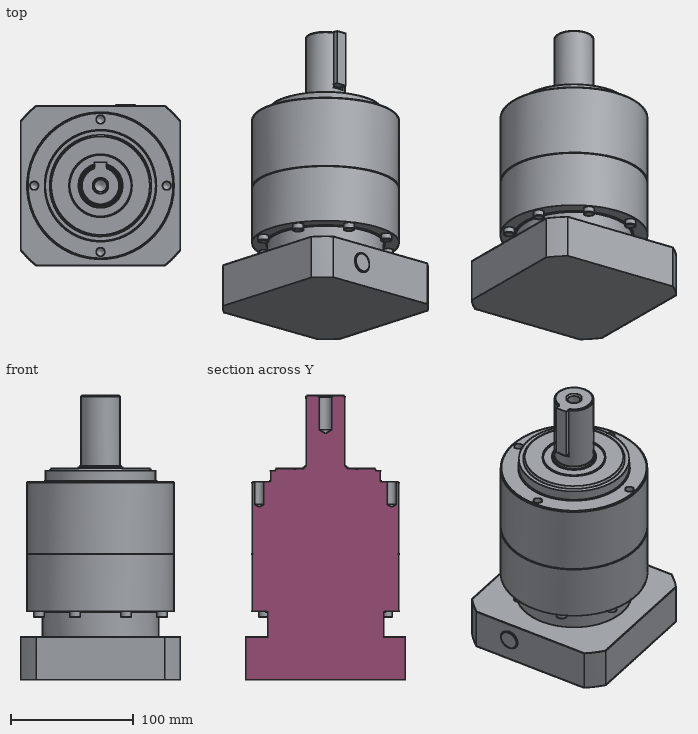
import cadquery as cq
import math

PLATE_TOP = 35.0
BODY_BOTTOM = 55.8
BODY_JOINT = 102.5
BODY_TOP = 161.4
PILOT_TOP = 170.4
CAP_TOP = 172.2
SEAL_TOP = 174.3
TOTAL_HEIGHT = 231.5

PLATE_SIDE = 130.0
PLATE_CORNER_RADIUS = 83.5
PLATE_CHAMFER = 0.2
PLUG_X = 20.4
PLUG_Z = 19.5
PLUG_RADIUS = 8.0
PLUG_HEIGHT = 1.0
PLUG_CHAMFER = 0.7

COLLAR_RADIUS = 47.5
SHOULDER_RADIUS = 48.5
SHOULDER_HEIGHT = 0.7
BODY_RADIUS = 60.0
BODY_CHAMFER = 1.0
JOINT_GROOVE = 0.5
PILOT_RADIUS = 45.0
PILOT_FOOT_RADIUS = 45.5
PILOT_FOOT_HEIGHT = 0.7
CAP_BASE_RADIUS = 41.5
CAP_TOP_RADIUS = 40.0
SEAL_SEAT_RADIUS = 25.7
SEAL_GROOVE = 0.7
SEAL_FOOT_RADIUS = 18.0
SEAL_FOOT_HEIGHT = 0.7
SEAL_LIP_RADIUS = 17.4
SEAL_EDGE_RADIUS = 16.5

SHAFT_RADIUS = 16.0
SHAFT_CHAMFER = 1.0
CENTRE_HOLE_RADIUS = 5.0
CENTRE_HOLE_MOUTH_RADIUS = 6.5
CENTRE_HOLE_DEPTH = 27.8
KEY_WIDTH = 10.0
KEY_INNER_Y = 11.0
KEY_OUTER_Y = 19.0
KEY_BOTTOM = 186.8
KEYWAY_BOTTOM = 183.8

MOUNT_HOLE_COUNT = 4
MOUNT_CIRCLE_RADIUS = 54.0
MOUNT_HOLE_RADIUS = 3.5
MOUNT_HOLE_DEPTH = 18.5
BOLT_COUNT = 8
BOLT_CIRCLE_RADIUS = 54.2
BOLT_HEAD_RADIUS = 4.5
BOLT_HEAD_HEIGHT = 4.9
BOLT_HEAD_CHAMFER = 0.5
DRILL_POINT_ANGLE = 118.0


def cylinder(radius, bottom, top):
    return cq.Workplane("XY").workplane(offset=bottom).circle(radius).extrude(top - bottom)


def cone(bottom_radius, top_radius, bottom, top):
    return (
        cq.Workplane("XY", origin=(0, 0, bottom))
        .circle(bottom_radius)
        .workplane(offset=top - bottom)
        .circle(top_radius)
        .loft()
    )


def ring(outer_radius, width, bottom, top):
    return cylinder(outer_radius, bottom, top).cut(cylinder(outer_radius - width, bottom, top))


def drilled_hole(radius, top, depth):
    """Blind hole with a conical drill point, depth taken to the end of its straight wall."""
    point = radius / math.tan(math.radians(DRILL_POINT_ANGLE / 2))
    return (
        cq.Workplane("XZ")
        .moveTo(0, top)
        .lineTo(radius, top)
        .lineTo(radius, top - depth)
        .lineTo(0, top - depth - point)
        .close()
        .revolve(360, (0, 0), (0, 1))
    )


def motor_plate():
    """Square plate whose corners are turned to a common circle, with a plug on its +Y side."""
    square = cq.Workplane("XY").rect(PLATE_SIDE, PLATE_SIDE).extrude(PLATE_TOP)
    plate = square.intersect(cylinder(PLATE_CORNER_RADIUS, 0, PLATE_TOP))
    plate = plate.faces(">Z").chamfer(PLATE_CHAMFER)
    plug = (
        cq.Workplane("XZ", origin=(PLUG_X, PLATE_SIDE / 2, PLUG_Z))
        .circle(PLUG_RADIUS)
        .extrude(-PLUG_HEIGHT)
        .faces(">Y")
        .chamfer(PLUG_CHAMFER)
    )
    return plate.union(plug)


def housing():
    collar = cylinder(COLLAR_RADIUS, PLATE_TOP, BODY_BOTTOM)
    shoulder = cylinder(SHOULDER_RADIUS, BODY_BOTTOM - SHOULDER_HEIGHT, BODY_BOTTOM)
    body = cylinder(BODY_RADIUS, BODY_BOTTOM, BODY_TOP).faces(">Z").chamfer(BODY_CHAMFER)
    half_groove = JOINT_GROOVE / 2
    joint_groove = ring(BODY_RADIUS, JOINT_GROOVE, BODY_JOINT - half_groove, BODY_JOINT + half_groove)
    body = body.cut(joint_groove)
    pilot = cylinder(PILOT_RADIUS, BODY_TOP, PILOT_TOP)
    pilot_foot = cylinder(PILOT_FOOT_RADIUS, BODY_TOP, BODY_TOP + PILOT_FOOT_HEIGHT)
    cap = cone(CAP_BASE_RADIUS, CAP_TOP_RADIUS, PILOT_TOP, CAP_TOP)
    seal_groove = ring(SEAL_SEAT_RADIUS, SEAL_GROOVE, CAP_TOP - SEAL_GROOVE, CAP_TOP)
    seal_foot_top = CAP_TOP + SEAL_FOOT_HEIGHT
    seal_foot = cylinder(SEAL_FOOT_RADIUS, CAP_TOP, seal_foot_top)
    seal_lip = cone(SEAL_LIP_RADIUS, SEAL_EDGE_RADIUS, seal_foot_top, SEAL_TOP)

    lower_half = collar.union(shoulder).union(body)
    upper_half = pilot.union(pilot_foot).union(cap).cut(seal_groove).union(seal_foot).union(seal_lip)
    return lower_half.union(upper_half)


def key_block(bottom):
    """Rectangular bar set into the +Y side of the shaft, open at the shaft end."""
    return (
        cq.Workplane("XY", origin=(0, (KEY_INNER_Y + KEY_OUTER_Y) / 2, bottom))
        .rect(KEY_WIDTH, KEY_OUTER_Y - KEY_INNER_Y)
        .extrude(TOTAL_HEIGHT - bottom)
    )


def output_shaft():
    shaft = cylinder(SHAFT_RADIUS, CAP_TOP, TOTAL_HEIGHT).faces(">Z").chamfer(SHAFT_CHAMFER)
    shaft = shaft.cut(key_block(KEYWAY_BOTTOM)).union(key_block(KEY_BOTTOM))
    countersink_bottom = TOTAL_HEIGHT - (CENTRE_HOLE_MOUTH_RADIUS - CENTRE_HOLE_RADIUS)
    countersink = cone(CENTRE_HOLE_RADIUS, CENTRE_HOLE_MOUTH_RADIUS, countersink_bottom, TOTAL_HEIGHT)
    centre_hole = drilled_hole(CENTRE_HOLE_RADIUS, TOTAL_HEIGHT, CENTRE_HOLE_DEPTH)
    return shaft.cut(countersink).cut(centre_hole)


def around_axis(feature, radius, count, start_angle):
    """Copies of a feature built on the Z axis, spread evenly on a circle."""
    placed = cq.Workplane("XY")
    for index in range(count):
        angle = start_angle + index * 360 / count
        placed = placed.add(feature.translate((radius, 0, 0)).rotate((0, 0, 0), (0, 0, 1), angle))
    return placed.combine()


mount_hole = drilled_hole(MOUNT_HOLE_RADIUS, BODY_TOP, MOUNT_HOLE_DEPTH)
mount_holes = around_axis(mount_hole, MOUNT_CIRCLE_RADIUS, MOUNT_HOLE_COUNT, 0)

bolt_head = cylinder(BOLT_HEAD_RADIUS, BODY_BOTTOM - BOLT_HEAD_HEIGHT, BODY_BOTTOM)
bolt_head = bolt_head.faces("<Z").chamfer(BOLT_HEAD_CHAMFER)
bolt_heads = around_axis(bolt_head, BOLT_CIRCLE_RADIUS, BOLT_COUNT, 180 / BOLT_COUNT)

gearbox = motor_plate().union(housing()).union(output_shaft())
result = gearbox.union(bolt_heads).cut(mount_holes)